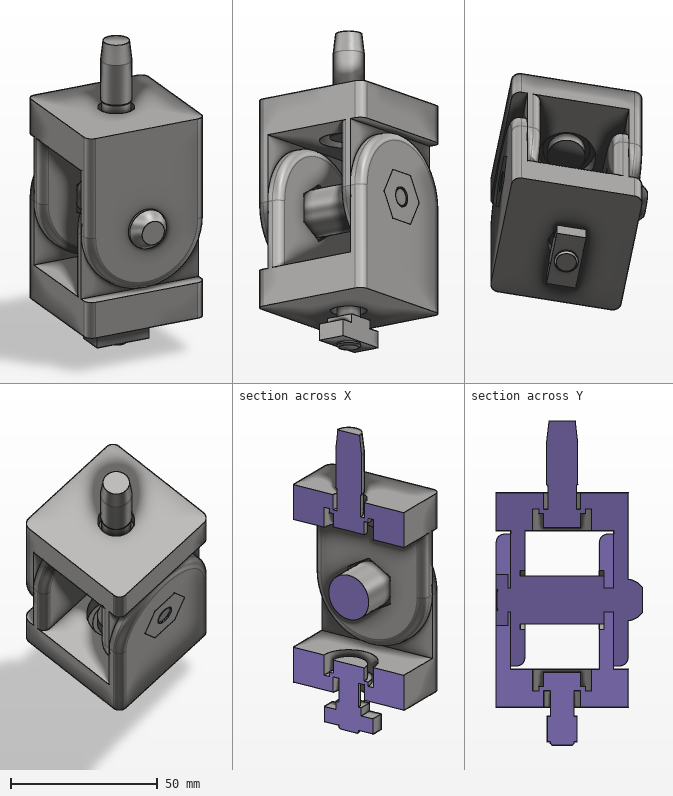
import cadquery as cq
import math


overall_height = 110.4

yoke_width = 45.0
half_height = 36.5
base_thickness = 13.0
arm_thickness = 5.0
edge_radius = 3.0
counterbore_diameter = 20.0
counterbore_depth = 7.4
screw_hole_diameter = 12.5

half_width = yoke_width / 2
base_inner_z = -half_height + base_thickness
counterbore_floor_z = base_inner_z - counterbore_depth
outer_arm_inner_x = half_width - arm_thickness
inner_arm_inner_x = outer_arm_inner_x - arm_thickness

hex_corners = 19.9
hub_pocket_depth = 1.7
hub_pocket_turn = 30
nut_depth = 4.0
spacer_diameter = 16.5
axle_diameter = 8.0
nut_bore_diameter = 6.8
axle_tip_diameter = 6.0
axle_tip_length = 0.4
axle_tip_chamfer = 0.2
axle_tip_recess = 0.3
button_diameter = 14.0
button_end_diameter = 8.5
button_rim = 1.0
button_height = 4.9

washer_diameter = 16.0
washer_thickness = 1.5
head_diameter = 12.8
head_height = 4.9

screw_diameter = 8.2
screw_tip_diameter = 6.8
screw_tip_chamfer = 0.7
screw_end_z = -49.5
t_nut_top_z = -39.5
t_nut_step_z = -42.5
t_nut_bottom_z = -48.2
t_nut_width = 10.2
t_nut_neck_length = 10.4
t_nut_length = 19.9

stud_neck_diameter = 9.9
stud_diameter = 10.7
stud_tip_diameter = 9.0
stud_start_z = 38.9
stud_start_chamfer = 0.4
stud_taper_length = 7.1
stud_top_z = overall_height + screw_end_z


def disc(diameter, z_bottom, z_top):
    """Upright cylinder on the Z axis."""
    return cq.Workplane("XY", origin=(0, 0, z_bottom)).circle(diameter / 2).extrude(z_top - z_bottom)


def bar(diameter, x_start, x_end):
    """Cylinder on the axle line."""
    return cq.Workplane("YZ", origin=(x_start, 0, 0)).circle(diameter / 2).extrude(x_end - x_start)


def hex_bar(corners, x_start, x_end):
    """Hexagonal prism on the axle line, with corners on the Y axis."""
    return cq.Workplane("YZ", origin=(x_start, 0, 0)).polygon(6, corners).extrude(x_end - x_start)


def slab(length_x, length_y, z_bottom, z_top):
    """Box centred on the Z axis."""
    return cq.Workplane("XY", origin=(0, 0, z_bottom)).rect(length_x, length_y).extrude(z_top - z_bottom)


def flip(shape):
    """Half turn about Y, from the lower half of the joint to the upper one."""
    return shape.rotate((0, 0, 0), (0, 1, 0), 180)


def arm(x_rounded, z_bottom):
    """Round-topped arm whose rim is rounded on its -X face, at x_rounded."""
    return (
        cq.Workplane("YZ", origin=(x_rounded, 0, 0))
        .moveTo(-half_width, z_bottom)
        .lineTo(-half_width, 0)
        .threePointArc((0, half_width), (half_width, 0))
        .lineTo(half_width, z_bottom)
        .close()
        .extrude(arm_thickness)
        .faces("<X")
        .edges("not <Z")
        .fillet(edge_radius)
    )


def yoke():
    """Lower yoke: outer arm at -X, inner arm at +X, counterbored screw hole in the base."""
    base = slab(yoke_width, yoke_width, -half_height, base_inner_z).edges("|Z").fillet(edge_radius)
    outer_arm = arm(-half_width, -half_height)
    inner_arm = arm(inner_arm_inner_x, base_inner_z)
    hub_pocket = hex_bar(hex_corners, inner_arm_inner_x, inner_arm_inner_x + hub_pocket_depth)
    hub_pocket = hub_pocket.rotate((0, 0, 0), (1, 0, 0), hub_pocket_turn)
    return (
        base.union(outer_arm)
        .union(inner_arm)
        .cut(hub_pocket)
        .cut(disc(screw_hole_diameter, -half_height, base_inner_z))
        .cut(disc(counterbore_diameter, counterbore_floor_z, base_inner_z))
    )


def screw_head():
    """Washer and cylindrical head seated in the counterbore of the lower yoke."""
    washer_top_z = counterbore_floor_z + washer_thickness
    washer = disc(washer_diameter, counterbore_floor_z, washer_top_z)
    return washer.union(disc(head_diameter, washer_top_z, washer_top_z + head_height))


def t_slot_screw():
    """Screw shank with the T-slot nut below the base."""
    shank = disc(screw_diameter, screw_end_z, counterbore_floor_z)
    tip_inset = (screw_diameter - screw_tip_diameter) / 2
    shank = shank.faces("<Z").chamfer(screw_tip_chamfer, tip_inset)
    neck = slab(t_nut_width, t_nut_neck_length, t_nut_step_z, t_nut_top_z)
    foot = slab(t_nut_width, t_nut_length, t_nut_bottom_z, t_nut_step_z)
    return shank.union(neck).union(foot)


def stud():
    """Stud rising from the upper washer: thin neck, full shank and tapered tip."""
    neck_radius = stud_neck_diameter / 2
    radius = stud_diameter / 2
    return (
        cq.Workplane("XZ")
        .moveTo(0, -counterbore_floor_z)
        .lineTo(neck_radius, -counterbore_floor_z)
        .lineTo(neck_radius, stud_start_z)
        .lineTo(radius, stud_start_z + stud_start_chamfer)
        .lineTo(radius, stud_top_z - stud_taper_length)
        .lineTo(stud_tip_diameter / 2, stud_top_z)
        .lineTo(0, stud_top_z)
        .close()
        .revolve(360, (0, 0, 0), (0, 1, 0))
    )


def button_head():
    """Domed axle head resting on the outer face of the upper yoke."""
    rim_x = half_width + button_rim
    end_x = half_width + button_height
    rim_radius = button_diameter / 2
    end_radius = button_end_diameter / 2
    dome_length = end_x - rim_x
    center_x = rim_x + (dome_length**2 + end_radius**2 - rim_radius**2) / (2 * dome_length)
    dome_radius = math.hypot(end_x - center_x, end_radius)
    middle_x = (rim_x + end_x) / 2
    middle_radius = math.sqrt(dome_radius**2 - (middle_x - center_x) ** 2)
    return (
        cq.Workplane("XY")
        .moveTo(half_width, 0)
        .lineTo(half_width, rim_radius)
        .lineTo(rim_x, rim_radius)
        .threePointArc((middle_x, middle_radius), (end_x, end_radius))
        .lineTo(end_x, 0)
        .close()
        .revolve(360, (0, 0, 0), (1, 0, 0))
    )


def axle():
    """Spacer between the hub pockets, with a thinner shank out to the nut and the button head."""
    spacer_end_x = inner_arm_inner_x + hub_pocket_depth
    spacer = bar(spacer_diameter, -spacer_end_x, spacer_end_x)
    shank = bar(axle_diameter, -half_width + nut_depth, half_width)
    return spacer.union(shank).union(button_head())


def nut():
    """Hexagonal nut flush with the -X face, with the chamfered axle end in its bore."""
    tip_x = -half_width + axle_tip_recess
    tip_root_x = tip_x + axle_tip_length
    tip = bar(nut_bore_diameter, tip_x, tip_root_x)
    tip_inset = (nut_bore_diameter - axle_tip_diameter) / 2
    tip = tip.faces("<X").chamfer(axle_tip_chamfer, tip_inset)
    body = hex_bar(hex_corners, -half_width, -half_width + nut_depth)
    return body.cut(bar(nut_bore_diameter, -half_width, tip_root_x)).union(tip)


axle_and_nut = axle().union(nut())
upper_half = flip(yoke().union(screw_head())).union(stud()).union(axle_and_nut)

nut_seat = hex_bar(hex_corners, -half_width, -half_width + nut_depth)
lower_half = yoke().union(screw_head()).union(t_slot_screw()).cut(axle()).cut(nut_seat)

result = cq.Compound.makeCompound([lower_half.val(), upper_half.val()])